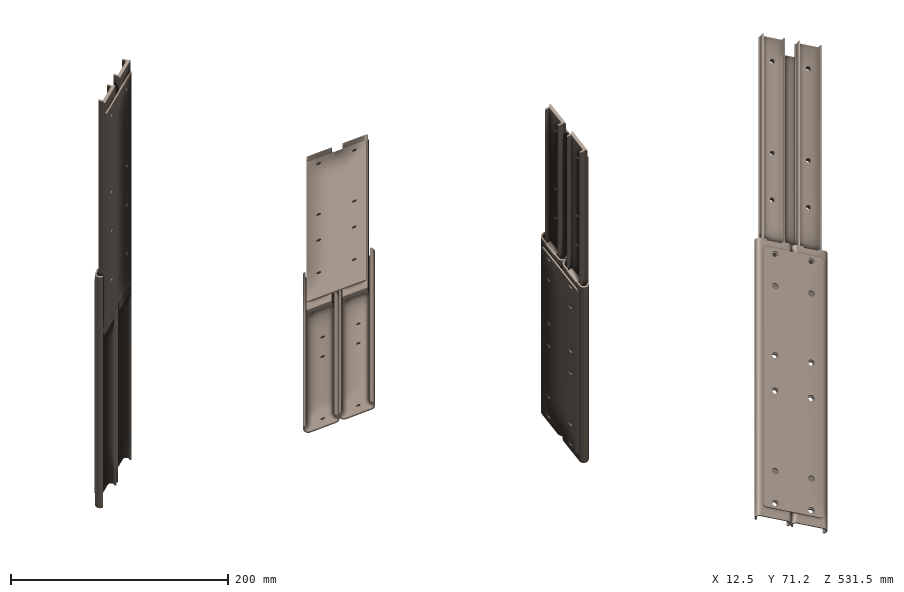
import cadquery as cq
import math


total_depth = 12.5
total_width = 71.18
total_height = 531.45

plate_thickness = 1.5
plate_width = 59.0
rail_length = 305.0
rail_width = total_width / 2
rail_centers_y = (-rail_width / 2, rail_width / 2)
outer_plate_face_x = -total_depth / 2
outer_web_face_x = outer_plate_face_x + plate_thickness
inner_plate_face_x = total_depth / 2 - plate_thickness
outer_rail_bottom_z = -total_height / 2
outer_rail_mid_z = outer_rail_bottom_z + rail_length / 2
inner_rail_bottom_z = total_height / 2 - rail_length
inner_rail_mid_z = inner_rail_bottom_z + rail_length / 2

sheet = 1.5
curl_radius = 4.8
curl_center_x = outer_web_face_x + curl_radius
curl_center_y = rail_width / 2 - curl_radius
curl_inner_radius = curl_radius - sheet
lip_angle = math.radians(45)
lip_length = 1.2

tab_width = 15.0
tab_drop = sheet
tab_tip_x = 1.0

leg_half_width = 11.3
flange_half_width = 12.5
race_radius = flange_half_width - leg_half_width
flange_thickness = 1.1
channel_half_width = 9.8
leg_tip_x = -2.75
leg_tip_rounding = 1.2
inner_web_thickness = 3.2
inner_corner_fillet = 1.0

outer_plate_length = 285.5
inner_plate_length = 277.0
outer_plate_corner = 2.0

outer_plate_hole_diameter = 6.7
outer_web_hole_diameter = 4.5
inner_hole_diameter = 4.8
outer_through_heights = (136.8, 25.4, -13.4, -136.8)
outer_access_heights = (101.3, -101.9)
inner_hole_heights = (127.0, 26.0, -25.4, -90.0)


def hole_cutters(diameter, centers_y, heights):
    """Cylinders along X that reach through the whole depth of the slide."""
    points = [(y, z) for y in centers_y for z in heights]
    return (
        cq.Workplane("YZ")
        .workplane(offset=-total_depth)
        .pushPoints(points)
        .circle(diameter / 2)
        .extrude(2 * total_depth)
    )


def heights_from(mid_z, heights):
    return [mid_z + height for height in heights]


def curl_point(radius, angle):
    """Point on the +Y curl, with the angle measured from the +X direction."""
    return (
        curl_center_x + radius * math.cos(angle),
        curl_center_y + radius * math.sin(angle),
    )


def lip_end(lip_start):
    """End of a straight lip that carries on along the tangent of the curl."""
    return (
        lip_start[0] + lip_length * math.sin(lip_angle),
        lip_start[1] - lip_length * math.cos(lip_angle),
    )


def mirrored(point):
    return (point[0], -point[1])


def make_outer_rail(center_y):
    web_inner_x = outer_web_face_x + sheet
    outer_apex = curl_point(curl_radius, math.pi / 2)
    outer_lip = curl_point(curl_radius, lip_angle)
    inner_apex = curl_point(curl_inner_radius, math.pi / 2)
    inner_lip = curl_point(curl_inner_radius, lip_angle)
    section = (
        cq.Workplane("XY")
        .moveTo(outer_web_face_x, -curl_center_y)
        .lineTo(outer_web_face_x, curl_center_y)
        .threePointArc(outer_apex, outer_lip)
        .lineTo(*lip_end(outer_lip))
        .lineTo(*lip_end(inner_lip))
        .lineTo(*inner_lip)
        .threePointArc(inner_apex, (web_inner_x, curl_center_y))
        .lineTo(web_inner_x, -curl_center_y)
        .threePointArc(mirrored(inner_apex), mirrored(inner_lip))
        .lineTo(*mirrored(lip_end(inner_lip)))
        .lineTo(*mirrored(lip_end(outer_lip)))
        .lineTo(*mirrored(outer_lip))
        .threePointArc(mirrored(outer_apex), (outer_web_face_x, -curl_center_y))
        .close()
    )
    rail = section.extrude(rail_length)
    notch = (
        cq.Workplane("XY", origin=(outer_web_face_x, 0, rail_length - tab_drop))
        .box(sheet, tab_width, tab_drop, centered=(False, True, False))
    )
    tab = (
        cq.Workplane("XY", origin=(outer_web_face_x, 0, rail_length - tab_drop - sheet))
        .box(tab_tip_x - outer_web_face_x, tab_width, sheet, centered=(False, True, False))
    )
    rail = rail.cut(notch).union(tab).translate((0, center_y, outer_rail_bottom_z))
    heights = heights_from(outer_rail_mid_z, outer_through_heights)
    return rail.cut(hole_cutters(outer_web_hole_diameter, [center_y], heights))


def make_inner_rail(center_y):
    web_inner_x = inner_plate_face_x - inner_web_thickness
    flange_x = inner_plate_face_x - flange_thickness
    race_start = (flange_x - race_radius, leg_half_width)
    race_middle = (
        flange_x - race_radius + race_radius * math.sin(math.pi / 4),
        flange_half_width - race_radius * math.cos(math.pi / 4),
    )
    race_end = (flange_x, flange_half_width)
    blank = (
        cq.Workplane("XY")
        .moveTo(leg_tip_x, -leg_half_width)
        .lineTo(*mirrored(race_start))
        .threePointArc(mirrored(race_middle), mirrored(race_end))
        .lineTo(inner_plate_face_x, -flange_half_width)
        .lineTo(inner_plate_face_x, flange_half_width)
        .lineTo(*race_end)
        .threePointArc(race_middle, race_start)
        .lineTo(leg_tip_x, leg_half_width)
        .close()
        .extrude(rail_length)
        .edges("|Z and <X")
        .fillet(leg_tip_rounding)
    )
    channel = (
        cq.Workplane("XY")
        .moveTo(leg_tip_x, -channel_half_width)
        .lineTo(web_inner_x, -channel_half_width)
        .lineTo(web_inner_x, channel_half_width)
        .lineTo(leg_tip_x, channel_half_width)
        .close()
        .extrude(rail_length)
        .edges("|Z and >X")
        .fillet(inner_corner_fillet)
    )
    rail = blank.cut(channel).translate((0, center_y, inner_rail_bottom_z))
    heights = heights_from(inner_rail_mid_z, inner_hole_heights)
    return rail.cut(hole_cutters(inner_hole_diameter, [center_y], heights))


def make_plate(face_x, mid_z, length):
    return (
        cq.Workplane("XY", origin=(face_x, 0, mid_z))
        .box(plate_thickness, plate_width, length, centered=(False, True, True))
    )


def make_outer_plate():
    plate = make_plate(outer_plate_face_x, outer_rail_mid_z, outer_plate_length)
    plate = plate.edges("|X").chamfer(outer_plate_corner)
    heights = heights_from(outer_rail_mid_z, outer_through_heights + outer_access_heights)
    return plate.cut(hole_cutters(outer_plate_hole_diameter, rail_centers_y, heights))


def make_inner_plate():
    plate = make_plate(inner_plate_face_x, inner_rail_mid_z, inner_plate_length)
    heights = heights_from(inner_rail_mid_z, inner_hole_heights)
    return plate.cut(hole_cutters(inner_hole_diameter, rail_centers_y, heights))


outer_plate = make_outer_plate()
inner_plate = make_inner_plate()
outer_rails = [make_outer_rail(y) for y in rail_centers_y]
inner_rails = [make_inner_rail(y) for y in rail_centers_y]

result = cq.Compound.makeCompound(
    [outer_plate.val(), inner_plate.val()] + [rail.val() for rail in outer_rails + inner_rails]
)